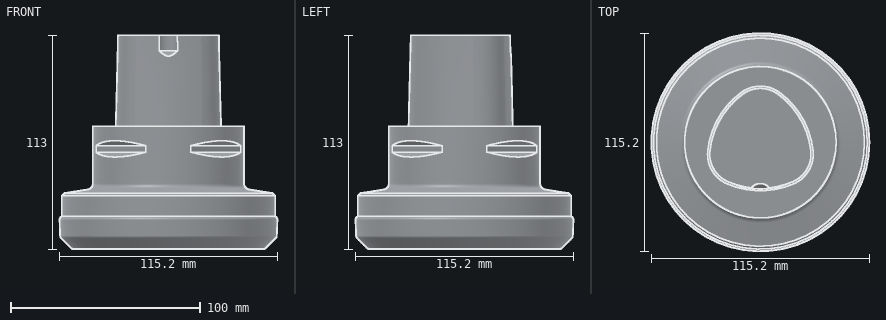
import cadquery as cq
import math

ring_height = 17.3
flange_face_height = 64.95
shank_length = 48.0
overall_height = flange_face_height + shank_length

flange_radius = 80.0 / 2
shoulder_radius = 112.81 / 2
shoulder_chamfer = 1.5
shoulder_top_height = 29.65
shoulder_slope = math.radians(9.0)
root_fillet = 3.0

groove_count = 4
groove_drop = 12.0
groove_floor_width = 3.3
groove_floor_distance = 35.4
groove_flank_angle = math.radians(30.0)

lobe_count = 3
lobe_reach = 29.6
flat_reach = 25.6
lobe_radius = 17.0
shank_taper = math.degrees(math.atan(1 / 40))

notch_radius = 6.0
notch_wall_distance = 21.8
notch_depth = 8.2

lip_radius = 115.24 / 2
lip_round = 2.0
wall_foot_radius = 57.25
bevel_size = 6.4
bevel_round = 1.6


def polar_point(distance, angle):
    """Point at a distance from the axis, in the direction of an angle in degrees."""
    return (
        distance * math.cos(math.radians(angle)),
        distance * math.sin(math.radians(angle)),
    )


def make_adapter_base():
    chamfer_radius = shoulder_radius - shoulder_chamfer
    fillet_foot_radius = flange_radius + root_fillet * (1 - math.sin(shoulder_slope))
    fillet_foot_height = shoulder_top_height + (chamfer_radius - fillet_foot_radius) * math.tan(shoulder_slope)
    fillet_top_height = fillet_foot_height + root_fillet * math.cos(shoulder_slope)
    profile = (
        cq.Workplane("XZ")
        .moveTo(0, ring_height)
        .lineTo(shoulder_radius, ring_height)
        .lineTo(shoulder_radius, shoulder_top_height - shoulder_chamfer)
        .lineTo(chamfer_radius, shoulder_top_height)
        .lineTo(fillet_foot_radius, fillet_foot_height)
        .radiusArc((flange_radius, fillet_top_height), root_fillet)
        .lineTo(flange_radius, flange_face_height)
        .lineTo(0, flange_face_height)
        .close()
    )
    return profile.revolve(360, (0, 0, 0), (0, 1, 0))


def make_groove():
    """Cutter for one groove on the +X side, reaching past the flange."""
    depth = 2 * (flange_radius - groove_floor_distance)
    floor_half = groove_floor_width / 2
    mouth_half = floor_half + depth * math.tan(groove_flank_angle)
    center_height = flange_face_height - groove_drop
    outer_distance = groove_floor_distance + depth
    return (
        cq.Workplane("XZ")
        .polyline(
            [
                (groove_floor_distance, center_height - floor_half),
                (outer_distance, center_height - mouth_half),
                (outer_distance, center_height + mouth_half),
                (groove_floor_distance, center_height + floor_half),
            ]
        )
        .close()
        .extrude(flange_radius, both=True)
    )


def make_shank():
    """Three lobe arcs joined by three tangent flatter arcs, tapered toward the tip."""
    lobe_center = lobe_reach - lobe_radius
    flat_radius = (lobe_center**2 + flat_reach**2 - lobe_center * flat_reach - lobe_radius**2) / (
        2 * flat_reach - 2 * lobe_radius - lobe_center
    )
    flat_center = flat_radius - flat_reach
    step = 360 / lobe_count
    first_lobe = 90.0

    def tangent_point(lobe_angle, side):
        """Where a lobe meets the flat on its side: +1 counterclockwise, -1 clockwise."""
        lobe_x, lobe_y = polar_point(lobe_center, lobe_angle)
        flat_x, flat_y = polar_point(-flat_center, lobe_angle + side * step / 2)
        stretch = flat_radius / (flat_radius - lobe_radius)
        return (flat_x + stretch * (lobe_x - flat_x), flat_y + stretch * (lobe_y - flat_y))

    outline = cq.Workplane("XY").workplane(offset=flange_face_height).moveTo(*tangent_point(first_lobe, -1))
    for index in range(lobe_count):
        angle = first_lobe + index * step
        outline = outline.threePointArc(polar_point(lobe_reach, angle), tangent_point(angle, 1))
        outline = outline.threePointArc(
            polar_point(flat_reach, angle + step / 2), tangent_point(angle + step, -1)
        )
    return outline.close().extrude(shank_length, taper=shank_taper)


def make_notch():
    """Cutter shaped like a drilled hole with a 90 degree point."""
    floor_height = overall_height - notch_depth
    axis_y = -(notch_wall_distance + notch_radius)
    drill = (
        cq.Workplane("XZ")
        .polyline(
            [
                (0, overall_height),
                (notch_radius, overall_height),
                (notch_radius, floor_height),
                (0, floor_height - notch_radius),
            ]
        )
        .close()
        .revolve(360, (0, 0, 0), (0, 1, 0))
    )
    return drill.translate((0, axis_y, 0))


def make_adapter():
    adapter = make_adapter_base().union(make_shank()).cut(make_notch())
    groove_step = 360 / groove_count
    for index in range(groove_count):
        angle = (index + 0.5) * groove_step
        adapter = adapter.cut(make_groove().rotate((0, 0, 0), (0, 0, 1), angle))
    return adapter


def make_cutter_ring():
    lip_overhang = lip_radius - shoulder_radius
    lip_drop = math.sqrt(lip_round**2 - (lip_round - lip_overhang) ** 2)
    profile = (
        cq.Workplane("XZ")
        .lineTo(wall_foot_radius - bevel_size, 0)
        .lineTo(wall_foot_radius, bevel_size)
        .lineTo(lip_radius, ring_height - lip_drop)
        .radiusArc((shoulder_radius, ring_height), -lip_round)
        .lineTo(0, ring_height)
        .close()
    )
    ring = profile.revolve(360, (0, 0, 0), (0, 1, 0))
    bevel_zone = cq.selectors.BoxSelector(
        (-lip_radius, -lip_radius, -bevel_round),
        (lip_radius, lip_radius, bevel_size + bevel_round),
    )
    return ring.edges("%CIRCLE").edges(bevel_zone).fillet(bevel_round)


adapter = make_adapter()
cutter_ring = make_cutter_ring()

result = cq.Compound.makeCompound([adapter.solids().val(), cutter_ring.solids().val()])